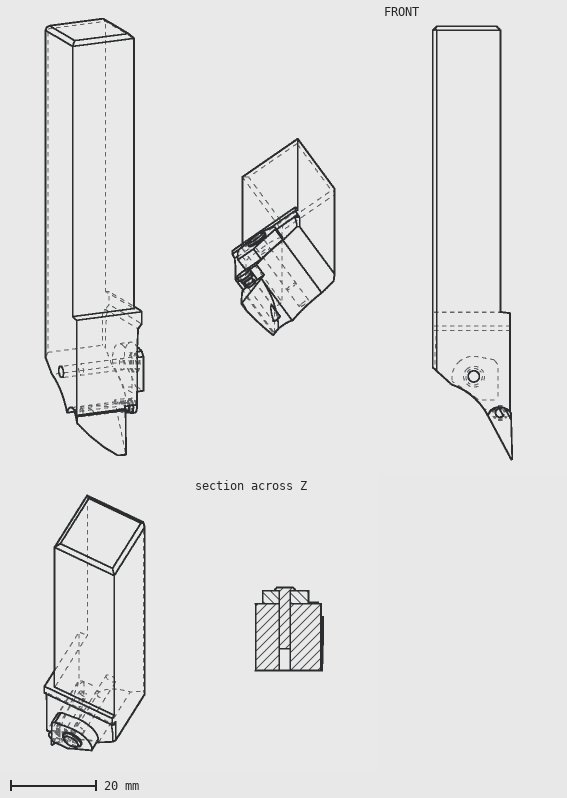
import cadquery as cq
import math

length = 101.0
shank_width = 15.9
edge_chamfer = 1.0
head_width = 18.1
head_top = 34.5
head_back = 16.8
shoulder_slope = 0.14
pad_bottom = 31.2
slope_bottom = 30.1
seat_top = 24.2
seat_back = 15.6
back_edge_chamfer = 0.8
heel = (0.0, 21.5)
throat_start = (4.4, 17.5)
throat_middle = (9.3, 14.8)

insert_left = (12.8, 10.3)
seat_crown = (15.8, 12.2)
insert_right = (18.3, 10.8)
insert_tip = (18.34, 0.0)
insert_corner = (18.6, 0.2)
rake_face = 12.5
flank_width = 1.0
front_reach = 4.3
front_bulge = (1.56, 6.4)
relief_height = 11.7

pin_x = 15.7
pin_z = 10.9
pin_front = 2.4
pin_radius = 1.0
collar_radius = 1.2
collar_back = 13.1
neck_back = 14.1
under_head_radius = 1.5
under_head_back = 15.0
pin_head_radius = 1.77
pin_head_back = 15.9

screw_x = 9.6
screw_z = 19.4
screw_radius = 1.3
screw_front = 5.1
clamp_front_corner = (9.5, 15.0)
clamp_end_center = (9.4, 19.2)
clamp_end_radius = 5.0
clamp_arc_start_z = 18.3
clamp_arc_end_x = 10.3
clamp_top_corner = (14.2, 23.3)
clamp_right = 15.2
clamp_side_top = 22.2
clamp_foot_x = 10.7
clamp_bottom = 13.9
clamp_back = 18.6
screw_head_radius = 2.4
screw_head_back = 19.4
screw_head_chamfer = 0.5


def prism_along_y(outline, y_start, y_end):
    """Extrude a closed outline, drawn in XZ, between two Y positions."""
    return outline.extrude(y_start - y_end).translate((0, y_start, 0))


def stepped_pin(x, z, y_start, steps):
    """Stack coaxial cylinders along +Y; each step is (radius, end Y)."""
    pin = None
    y = y_start
    for radius, y_end in steps:
        disc = prism_along_y(cq.Workplane("XZ").center(x, z).circle(radius), y, y_end)
        pin = disc if pin is None else pin.union(disc)
        y = y_end
    return pin


def make_insert():
    blank = prism_along_y(
        cq.Workplane("XZ")
        .moveTo(*insert_left)
        .threePointArc(seat_crown, insert_right)
        .lineTo(*insert_corner)
        .lineTo(*insert_tip)
        .close(),
        0,
        rake_face,
    )
    run = insert_tip[0] - insert_left[0]
    drop = insert_left[1] - insert_tip[1]
    across_flank = cq.Plane(
        origin=(insert_left[0], 0, insert_left[1]),
        xDir=(drop, 0, run),
        normal=(-run, 0, drop),
    )
    flank_length = math.hypot(run, drop)
    kept = (
        cq.Workplane(across_flank)
        .moveTo(0, rake_face - flank_width)
        .threePointArc(front_bulge, (front_reach, 0))
        .lineTo(2 * front_reach, 0)
        .lineTo(2 * front_reach, rake_face)
        .lineTo(0, rake_face)
        .close()
        .extrude(2 * flank_length, both=True)
    )
    return blank.intersect(kept)


def make_insert_screw():
    return stepped_pin(
        pin_x,
        pin_z,
        pin_front,
        [
            (pin_radius, rake_face),
            (collar_radius, collar_back),
            (pin_radius, neck_back),
            (under_head_radius, under_head_back),
            (pin_head_radius, pin_head_back),
        ],
    )


def make_clamp():
    center_x, center_z = clamp_end_center
    diagonal = clamp_end_radius * math.sqrt(0.5)
    arc_start_x = center_x - math.sqrt(clamp_end_radius**2 - (clamp_arc_start_z - center_z) ** 2)
    arc_end_z = center_z + math.sqrt(clamp_end_radius**2 - (clamp_arc_end_x - center_x) ** 2)
    return prism_along_y(
        cq.Workplane("XZ")
        .moveTo(arc_start_x, clamp_arc_start_z)
        .threePointArc((center_x - diagonal, center_z + diagonal), (clamp_arc_end_x, arc_end_z))
        .lineTo(*clamp_top_corner)
        .lineTo(clamp_right, clamp_side_top)
        .lineTo(clamp_right, clamp_bottom)
        .lineTo(clamp_foot_x, clamp_bottom)
        .lineTo(*clamp_front_corner)
        .close(),
        seat_back,
        clamp_back,
    )


def make_clamp_screw():
    screw = stepped_pin(
        screw_x,
        screw_z,
        screw_front,
        [(screw_radius, clamp_back), (screw_head_radius, screw_head_back)],
    )
    return screw.faces(">Y").chamfer(screw_head_chamfer)


def make_shank():
    shank = cq.Workplane("XY", origin=(0, 0, slope_bottom)).box(
        shank_width, shank_width, length - slope_bottom, centered=False
    )
    return shank.faces(">Z").chamfer(edge_chamfer)


def make_head():
    side_drop = shoulder_slope * (head_width - shank_width)
    back_drop = shoulder_slope * (head_back - shank_width)
    front_outline = prism_along_y(
        cq.Workplane("XZ")
        .moveTo(0, head_top)
        .lineTo(shank_width, head_top)
        .lineTo(head_width, head_top - side_drop)
        .lineTo(head_width, insert_right[1])
        .threePointArc(seat_crown, insert_left)
        .threePointArc(throat_middle, throat_start)
        .lineTo(*heel)
        .close(),
        0,
        head_back,
    )
    side_outline = (
        cq.Workplane("YZ")
        .polyline(
            [
                (0, 0),
                (seat_back, 0),
                (seat_back, seat_top),
                (shank_width, slope_bottom),
                (head_back, pad_bottom),
                (head_back, head_top - back_drop),
                (shank_width, head_top),
                (0, head_top),
            ]
        )
        .close()
        .extrude(head_width)
    )
    return front_outline.intersect(side_outline)


def corner_strip(y, size, height):
    """Diamond prism, centred on the left edge, that chamfers it at the given Y."""
    return (
        cq.Workplane("XY")
        .polyline([(-size, y), (0, y - size), (size, y), (0, y + size)])
        .close()
        .extrude(height)
    )


def make_holder(fitted_bodies):
    holder = make_shank().union(make_head())
    holder = holder.cut(corner_strip(0, edge_chamfer, length))
    holder = holder.cut(corner_strip(shank_width, back_edge_chamfer, slope_bottom))
    relief = cq.Workplane("XY", origin=(0, rake_face, 0)).box(
        head_width, head_back - rake_face, relief_height, centered=False
    )
    holder = holder.cut(relief)
    screw_hole = prism_along_y(
        cq.Workplane("XZ").center(screw_x, screw_z).circle(screw_radius), 0, head_back
    )
    holder = holder.cut(screw_hole)
    for body in fitted_bodies:
        holder = holder.cut(body)
    return holder


insert_screw = make_insert_screw()
insert = make_insert().cut(insert_screw)
clamp_screw = make_clamp_screw()
clamp = make_clamp().cut(clamp_screw)
holder = make_holder([insert, insert_screw])

bodies = [holder, insert, insert_screw, clamp, clamp_screw]
result = cq.Compound.makeCompound([body.solids().val() for body in bodies])